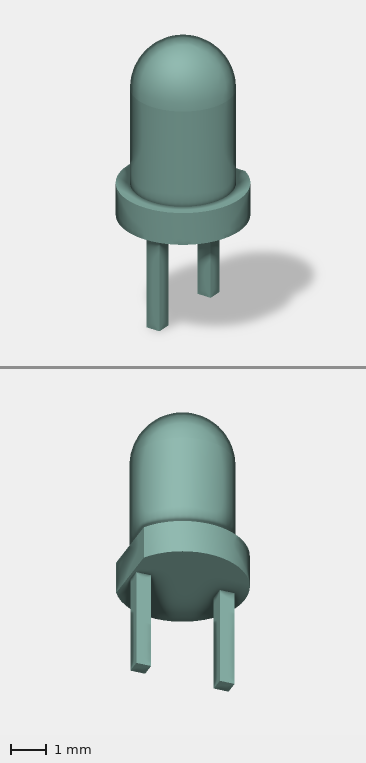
import cadquery as cq

flange_diameter = 3.8
flange_height = 1.0
flat_offset = 1.6
dome_radius = 1.5
barrel_height = 3.0

lead_width = 0.45
lead_length = 3.0
lead_pitch = 2.54

flange_radius = flange_diameter / 2
dome_base = flange_height + barrel_height


def make_flange():
    """Disc with one flat facing +Y."""
    disc = cq.Workplane("XY").circle(flange_radius).extrude(flange_height)
    depth_to_flat = flange_radius + flat_offset
    flat_limit = (
        cq.Workplane("XY")
        .center(0, flat_offset - depth_to_flat / 2)
        .rect(flange_diameter, depth_to_flat)
        .extrude(flange_height)
    )
    return disc.intersect(flat_limit)


def make_domed_barrel():
    """Half profile revolved about Z, with a quarter arc forming the dome."""
    arc_offset = dome_radius / 2**0.5
    return (
        cq.Workplane("XZ")
        .lineTo(dome_radius, 0)
        .lineTo(dome_radius, dome_base)
        .threePointArc((arc_offset, dome_base + arc_offset), (0, dome_base + dome_radius))
        .close()
        .revolve(360, (0, 0), (0, 1))
    )


def make_lens():
    return make_flange().union(make_domed_barrel())


def make_lead(y_center):
    """Square post hanging below the flange."""
    return (
        cq.Workplane("XY")
        .center(0, y_center)
        .rect(lead_width, lead_width)
        .extrude(-lead_length)
    )


lens = make_lens()
leads = []
for side in (-1, 1):
    leads.append(make_lead(side * lead_pitch / 2).val())

result = cq.Compound.makeCompound([lens.val(), *leads])